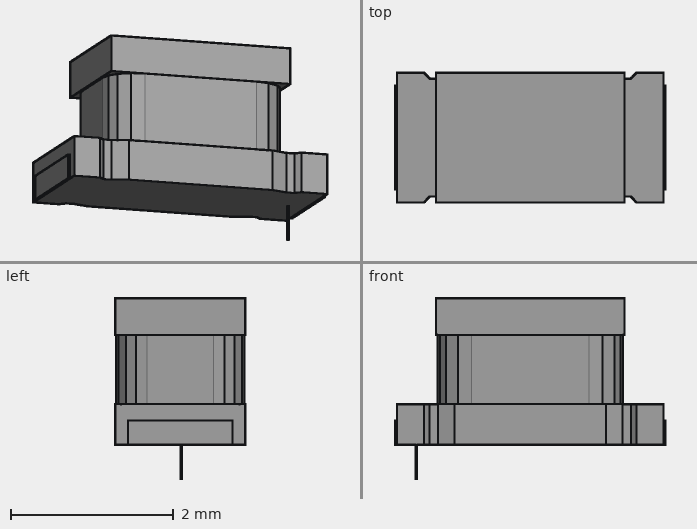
import cadquery as cq

overall_length = 3.33
body_width = 1.6

base_length = 3.28
base_height = 0.5
notch_depth = 0.073
notch_outer_edge_x = 1.305
notch_outer_floor_x = 1.235
notch_inner_floor_x = 1.132
notch_inner_edge_x = 0.93

winding_height = 0.852
winding_corner = [(1.142, 0.405), (1.112, 0.545), (1.035, 0.665), (0.89, 0.76), (0.723, 0.793)]

cap_length = 2.32
cap_height = 0.45

terminal_width = 1.28
terminal_height = 0.3

pin_size = 0.02
pin_length = 0.42
pin_x = -1.402
pin_y = -0.013

winding_top = base_height + winding_height


def mirrored_outline(quarter):
    """Mirror a quarter outline, listed from +X towards +Y, into all four quadrants."""
    upper = quarter + [(-x, y) for x, y in reversed(quarter)]
    lower = [(-x, -y) for x, y in upper]
    return upper + lower


def make_block(length, width, height, x, y, bottom):
    """Box centred on (x, y) with its underside at the given height."""
    return (
        cq.Workplane("XY")
        .box(length, width, height, centered=(True, True, False))
        .translate((x, y, bottom))
    )


def make_base():
    """Flat block with four sloped notches in its long sides."""
    edge_y = body_width / 2
    floor_y = edge_y - notch_depth
    quarter = [
        (base_length / 2, edge_y),
        (notch_outer_edge_x, edge_y),
        (notch_outer_floor_x, floor_y),
        (notch_inner_floor_x, floor_y),
        (notch_inner_edge_x, edge_y),
    ]
    return cq.Workplane("XY").polyline(mirrored_outline(quarter)).close().extrude(base_height)


def make_winding():
    """Block with faceted corners between the base and the cap."""
    return (
        cq.Workplane("XY", origin=(0, 0, base_height))
        .polyline(mirrored_outline(winding_corner))
        .close()
        .extrude(winding_height)
    )


def make_cap():
    """Plain rectangular block on top of the winding."""
    return make_block(cap_length, body_width, cap_height, 0, 0, winding_top)


def make_terminal(side):
    """Thin contact plate on an end face of the base; side is -1 or 1."""
    thickness = (overall_length - base_length) / 2
    terminal_x = side * (base_length + thickness) / 2
    return make_block(thickness, terminal_width, terminal_height, terminal_x, 0, 0)


def make_pin():
    """Thin square pin hanging below the base."""
    return make_block(pin_size, pin_size, pin_length, pin_x, pin_y, -pin_length)


base = make_base()
winding = make_winding()
cap = make_cap()
terminals = [make_terminal(side) for side in (-1, 1)]
pin = make_pin()

result = cq.Compound.makeCompound([
    base.val(),
    winding.val(),
    cap.val(),
    *[terminal.val() for terminal in terminals],
    pin.val(),
])